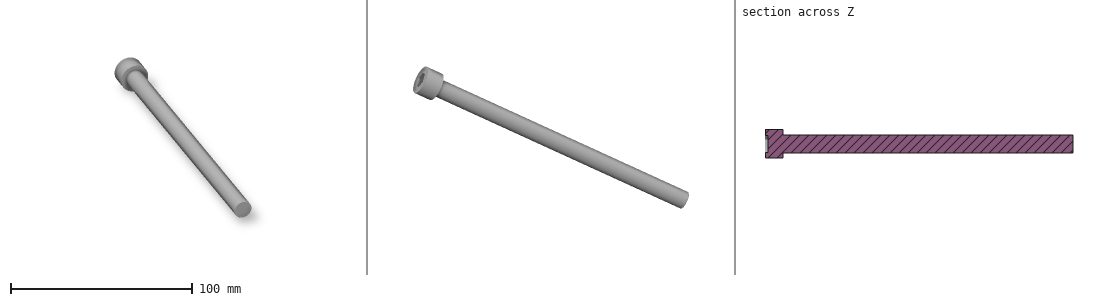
import cadquery as cq
import math

total_length = 170.0
head_diameter = 16.0
shank_diameter = 10.0
head_length = shank_diameter
socket_across_flats = 8.0
socket_depth = 1.5
tip_chamfer = 0.2


def make_cylinder(diameter, length):
    """Cylinder starting at X = 0 and running toward +X."""
    return cq.Workplane("YZ").circle(diameter / 2).extrude(length)


def make_socket():
    """Hexagonal prism with two corners on the Y axis."""
    across_corners = socket_across_flats / math.cos(math.pi / 6)
    return cq.Workplane("YZ").polygon(6, across_corners).extrude(socket_depth)


head = make_cylinder(head_diameter, head_length)
shank = make_cylinder(shank_diameter, total_length).faces(">X").chamfer(tip_chamfer)

result = head.union(shank).cut(make_socket())